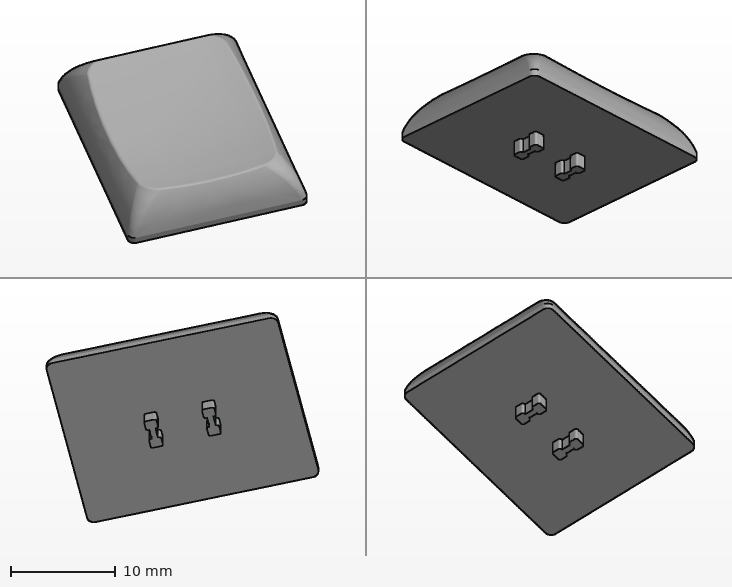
import cadquery as cq
import math

length_x = 22.75
length_y = 18.0
band_height = 0.7
corner_radius = 0.68

wall_radius = 7.05
base_tilt = 12.4
top_tilt = 52
wall_steps = 6
corner_growth = 0.5

dish_floor = 3.2
dish_radius_x = 46.64
dish_radius_y = 54.6
dish_half_width = 13.65
rim_fillet = 0.3

leg_spacing = 5.69
leg_x = 1.2
leg_y = 3.0
leg_length = 1.45
leg_corner_radius = 0.2
notch_width = 0.95
notch_depth = 0.3
notch_lip_radius = 0.25
tolerance = 0.002


def rounded_section(inset, height):
    """Outline of the cap, drawn in by inset, at the given height."""
    return (
        cq.Sketch()
        .rect(length_x - 2 * inset, length_y - 2 * inset)
        .vertices()
        .fillet(corner_radius + corner_growth * inset)
        .moved(cq.Location(cq.Vector(0, 0, height)))
    )


def make_band():
    return cq.Workplane("XY").placeSketch(rounded_section(0, 0)).extrude(band_height)


def make_skirt():
    """Smooth loft through sections spaced evenly along the wall arc."""
    start = math.radians(base_tilt)
    step = math.radians(top_tilt - base_tilt) / wall_steps
    sections = []
    for i in range(wall_steps + 1):
        tilt = start + i * step
        inset = wall_radius * (math.cos(start) - math.cos(tilt))
        rise = wall_radius * (math.sin(tilt) - math.sin(start))
        sections.append(rounded_section(inset, band_height + rise))
    return cq.Workplane("XY").placeSketch(*sections).loft()


def make_dish_cutter():
    """Barrel whose lowest surface is the dish, turned about an axis parallel to Y."""
    axis_height = dish_floor + dish_radius_x
    edge_rise = dish_radius_y - math.sqrt(dish_radius_y**2 - dish_half_width**2)
    end_z = edge_rise - dish_radius_x
    return (
        cq.Workplane("YZ")
        .moveTo(-dish_half_width, 0)
        .lineTo(-dish_half_width, end_z)
        .threePointArc((0, -dish_radius_x), (dish_half_width, end_z))
        .lineTo(dish_half_width, 0)
        .close()
        .revolve(360, (0, 0), (1, 0))
        .translate((0, 0, axis_height))
    )


def is_notch_lip(edge):
    """True for the outer edges of a notch: at its ends in Y and on a side face in X."""
    centre = edge.Center()
    at_notch_end = abs(centre.y) < notch_width / 2 + tolerance
    on_side_face = abs(centre.x) > leg_x / 2 - tolerance
    return at_notch_end and on_side_face


def make_leg(centre_x):
    """Rounded bar below the band, waisted by a round-lipped notch in each X side."""
    bar = (
        cq.Workplane("XY")
        .box(leg_x, leg_y, leg_length, centered=(True, True, False))
        .edges("|Z")
        .fillet(leg_corner_radius)
    )
    notch = cq.Workplane("XY").box(
        2 * notch_depth, notch_width, leg_length, centered=(True, True, False)
    )
    for side in (-1, 1):
        bar = bar.cut(notch.translate((side * leg_x / 2, 0, 0)))
    bar = bar.edges("|Z").filter(is_notch_lip).fillet(notch_lip_radius)
    return bar.translate((centre_x, 0, -leg_length))


skirt = make_skirt().cut(make_dish_cutter())
skirt = skirt.faces(">Z").edges().fillet(rim_fillet)
result = make_band().union(skirt)
for leg_side in (-1, 1):
    result = result.union(make_leg(leg_side * leg_spacing / 2))